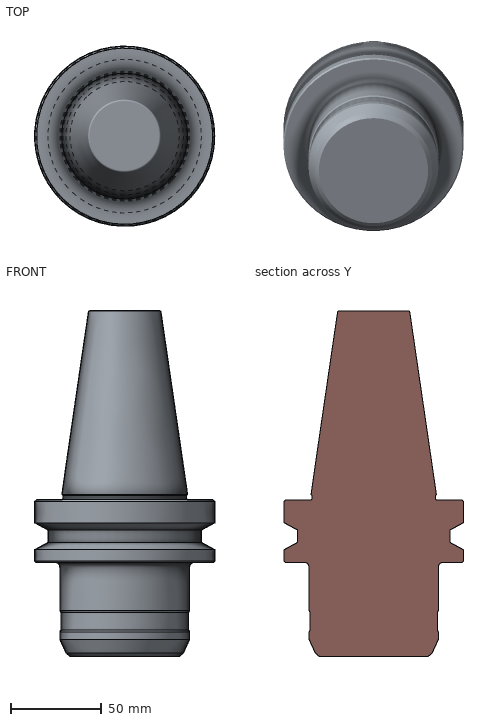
import cadquery as cq

total_height = 191.8
gauge_z = 90.0
flange_top_z = 87.0
flange_bottom_z = 52.2

taper_ratio = 7 / 24
gauge_radius = 35.0
tip_radius = gauge_radius - (total_height - gauge_z) * taper_ratio / 2
tip_round = 1.0
relief_radius = 34.3
relief_bevel = 0.5

flange_radius = 49.96
flange_chamfer = 1.2
flange_lower_chamfer = 0.8
groove_radius = 42.5
groove_top_z = 74.2
groove_floor_top_z = 70.2
groove_floor_bottom_z = 63.3
groove_bottom_z = 59.3

body_radius = 36.0
body_fillet = 2.5
band_depth = 0.5
band_bevel = 1.2
band_top_z = 25.7
band_bottom_z = 13.6
cone_top_z = 9.5
cone_bottom_z = 2.1
cone_bottom_radius = 32.6
nose_radius = 30.3


def turned_solid():
    """Revolve the half section about Z; the section's Y is the part's Z."""
    band_radius = body_radius - band_depth
    flange_rim = flange_radius - flange_chamfer
    section = (
        cq.Workplane("XZ")
        .moveTo(0, 0)
        .lineTo(nose_radius, 0)
        .lineTo(cone_bottom_radius, cone_bottom_z)
        .lineTo(body_radius, cone_top_z)
        .lineTo(body_radius, band_bottom_z)
        .lineTo(band_radius, band_bottom_z + band_bevel)
        .lineTo(band_radius, band_top_z - band_bevel)
        .lineTo(body_radius, band_top_z)
        .lineTo(body_radius, flange_bottom_z - body_fillet)
        .radiusArc((body_radius + body_fillet, flange_bottom_z), body_fillet)
        .lineTo(flange_radius - flange_lower_chamfer, flange_bottom_z)
        .lineTo(flange_radius, flange_bottom_z + flange_lower_chamfer)
        .lineTo(flange_radius, groove_bottom_z)
        .lineTo(groove_radius, groove_floor_bottom_z)
        .lineTo(groove_radius, groove_floor_top_z)
        .lineTo(flange_radius, groove_top_z)
        .lineTo(flange_radius, flange_top_z - flange_chamfer)
        .lineTo(flange_rim, flange_top_z)
        .lineTo(relief_radius + relief_bevel, flange_top_z)
        .radiusArc((relief_radius, flange_top_z + relief_bevel), relief_bevel)
        .lineTo(relief_radius, gauge_z - relief_bevel)
        .lineTo(gauge_radius, gauge_z)
        .lineTo(tip_radius, total_height)
        .lineTo(0, total_height)
        .close()
    )
    return section.revolve(360, (0, 0, 0), (0, 1, 0))


result = turned_solid().faces(">Z").edges().fillet(tip_round)